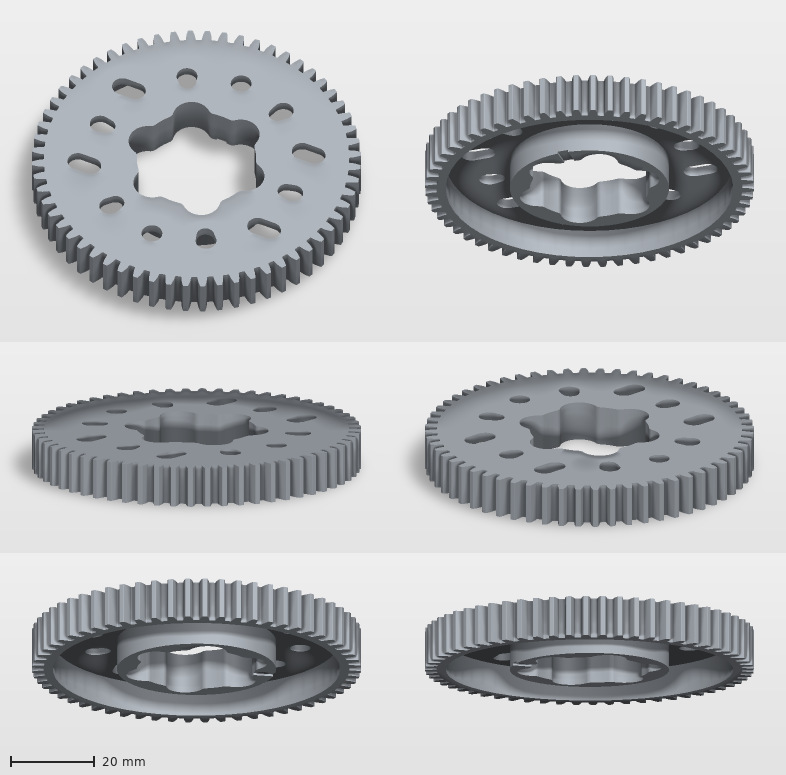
import cadquery as cq
import math

INCH = 25.4

TOOTH_COUNT = 60
DIAMETRAL_PITCH = 20
PRESSURE_ANGLE = math.radians(14.5)
MODULE = INCH / DIAMETRAL_PITCH
PITCH_RADIUS = MODULE * TOOTH_COUNT / 2
TIP_RADIUS = PITCH_RADIUS + MODULE
DEDENDUM_FACTOR = 1.25
ROOT_RADIUS = PITCH_RADIUS - DEDENDUM_FACTOR * MODULE
BASE_RADIUS = PITCH_RADIUS * math.cos(PRESSURE_ANGLE)
TOOTH_ANGLE = 2 * math.pi / TOOTH_COUNT
BACKLASH = 0.08
ROOT_FILLET = 0.3
TIP_FILLET = 0.15
FLANK_POINTS = 5

FACE_WIDTH = 0.375 * INCH
WEB_THICKNESS = 3 / 32 * INCH
HUB_RADIUS = 0.75 * INCH
RIM_INNER_RADIUS = 34.4

BORE_RADIUS = 1.125 * INCH / 2
LOBE_COUNT = 6
LOBE_RADIUS = 4.55
LOBE_CENTER_RADIUS = 12.9
LOBE_BLEND_RADIUS = 1.7

NOTCH_WIDTH = 2.6
NOTCH_DEPTH = 0.5

BOLT_CIRCLE_RADIUS = 1.0 * INCH
HOLE_RADIUS = 0.196 * INCH / 2
SLOT_ANGLE = math.radians(30)
EGG_COUNT = 6
EGG_TIP_RADIUS = 2.1
EGG_TIP_CENTER_RADIUS = 23.7


def polar(radius, angle):
    return (radius * math.cos(angle), radius * math.sin(angle))


def involute(angle):
    return math.tan(angle) - angle


def tooth_half_angle(radius):
    """Half of the angle that a tooth spans at the given radius."""
    at_pitch = TOOTH_ANGLE / 4 - BACKLASH / (2 * PITCH_RADIUS)
    local_pressure_angle = math.acos(BASE_RADIUS / radius)
    return at_pitch + involute(PRESSURE_ANGLE) - involute(local_pressure_angle)


def make_toothed_disc():
    tip_center_radius = TIP_RADIUS - TIP_FILLET
    land_half = tooth_half_angle(tip_center_radius) - TIP_FILLET / BASE_RADIUS
    tip_center_roll = math.sqrt(tip_center_radius**2 - BASE_RADIUS**2)
    flank_end = math.hypot(BASE_RADIUS, tip_center_roll + TIP_FILLET)

    step = (flank_end - BASE_RADIUS) / (FLANK_POINTS - 1)
    flank_radii = [BASE_RADIUS + i * step for i in range(FLANK_POINTS)]
    base_half = tooth_half_angle(BASE_RADIUS)

    fillet_center_radius = ROOT_RADIUS + ROOT_FILLET
    fillet_angle = math.asin(ROOT_FILLET / fillet_center_radius)
    foot_radius = fillet_center_radius * math.cos(fillet_angle)
    root_half = base_half + fillet_angle

    outline = cq.Workplane("XY").moveTo(*polar(ROOT_RADIUS, TOOTH_ANGLE / 2 - root_half))
    for tooth in range(TOOTH_COUNT):
        center = (tooth + 0.5) * TOOTH_ANGLE
        rising = [polar(r, center - tooth_half_angle(r)) for r in flank_radii]
        falling = [polar(r, center + tooth_half_angle(r)) for r in reversed(flank_radii)]
        outline = (
            outline.radiusArc(polar(foot_radius, center - base_half), ROOT_FILLET)
            .lineTo(*rising[0])
            .spline(rising[1:], includeCurrent=True)
            .radiusArc(polar(TIP_RADIUS, center - land_half), -TIP_FILLET)
            .threePointArc(polar(TIP_RADIUS, center), polar(TIP_RADIUS, center + land_half))
            .radiusArc(falling[0], -TIP_FILLET)
            .spline(falling[1:], includeCurrent=True)
            .lineTo(*polar(foot_radius, center + base_half))
            .radiusArc(polar(ROOT_RADIUS, center + root_half), ROOT_FILLET)
            .threePointArc(
                polar(ROOT_RADIUS, center + TOOTH_ANGLE / 2),
                polar(ROOT_RADIUS, center + TOOTH_ANGLE - root_half),
            )
        )
    return outline.close().extrude(FACE_WIDTH)


def make_lower_pocket():
    """Ring-shaped recess that leaves the web between the hub and the rim."""
    return (
        cq.Workplane("XY")
        .circle(RIM_INNER_RADIUS)
        .circle(HUB_RADIUS)
        .extrude(FACE_WIDTH - WEB_THICKNESS)
    )


def make_bore():
    lobes = (
        cq.Workplane("XY")
        .polarArray(LOBE_CENTER_RADIUS, 0, 360, LOBE_COUNT)
        .circle(LOBE_RADIUS)
        .extrude(FACE_WIDTH)
    )
    bore = cq.Workplane("XY").circle(BORE_RADIUS).extrude(FACE_WIDTH).union(lobes)
    return bore.edges("|Z").fillet(LOBE_BLEND_RADIUS)


def make_notch():
    return (
        cq.Workplane("XY")
        .center(0, HUB_RADIUS / 2)
        .rect(NOTCH_WIDTH, HUB_RADIUS)
        .extrude(NOTCH_DEPTH)
    )


def make_egg_holes():
    """Bolt holes drawn out into a smaller rounded end that points at the axis."""
    spread = BOLT_CIRCLE_RADIUS - EGG_TIP_CENTER_RADIUS
    tangent_angle = math.pi - math.acos((HOLE_RADIUS - EGG_TIP_RADIUS) / spread)
    wide_dx, wide_y = polar(HOLE_RADIUS, tangent_angle)
    tip_dx, tip_y = polar(EGG_TIP_RADIUS, tangent_angle)
    wide_x = BOLT_CIRCLE_RADIUS + wide_dx
    tip_x = EGG_TIP_CENTER_RADIUS + tip_dx
    egg = (
        cq.Workplane("XY")
        .moveTo(wide_x, -wide_y)
        .threePointArc((BOLT_CIRCLE_RADIUS + HOLE_RADIUS, 0), (wide_x, wide_y))
        .lineTo(tip_x, tip_y)
        .threePointArc((EGG_TIP_CENTER_RADIUS - EGG_TIP_RADIUS, 0), (tip_x, -tip_y))
        .close()
        .extrude(FACE_WIDTH)
    )
    eggs = cq.Workplane("XY")
    for index in range(EGG_COUNT):
        eggs = eggs.add(egg.rotate((0, 0, 0), (0, 0, 1), index * 360 / EGG_COUNT))
    return eggs.combine()


def make_slots():
    """Slots along X from the bolt circle out to a full bolt-circle radius."""
    inner_x, center_y = polar(BOLT_CIRCLE_RADIUS, SLOT_ANGLE)
    travel = BOLT_CIRCLE_RADIUS - inner_x
    center_x = inner_x + travel / 2
    return (
        cq.Workplane("XY")
        .rect(2 * center_x, 2 * center_y, forConstruction=True)
        .vertices()
        .slot2D(travel + 2 * HOLE_RADIUS, 2 * HOLE_RADIUS)
        .extrude(FACE_WIDTH)
    )


def make_round_holes():
    return (
        cq.Workplane("XY")
        .pushPoints([(0, BOLT_CIRCLE_RADIUS), (0, -BOLT_CIRCLE_RADIUS)])
        .circle(HOLE_RADIUS)
        .extrude(FACE_WIDTH)
    )


openings = (
    make_lower_pocket()
    .union(make_bore())
    .union(make_notch())
    .union(make_egg_holes())
    .union(make_slots())
    .union(make_round_holes())
)
result = make_toothed_disc().cut(openings)